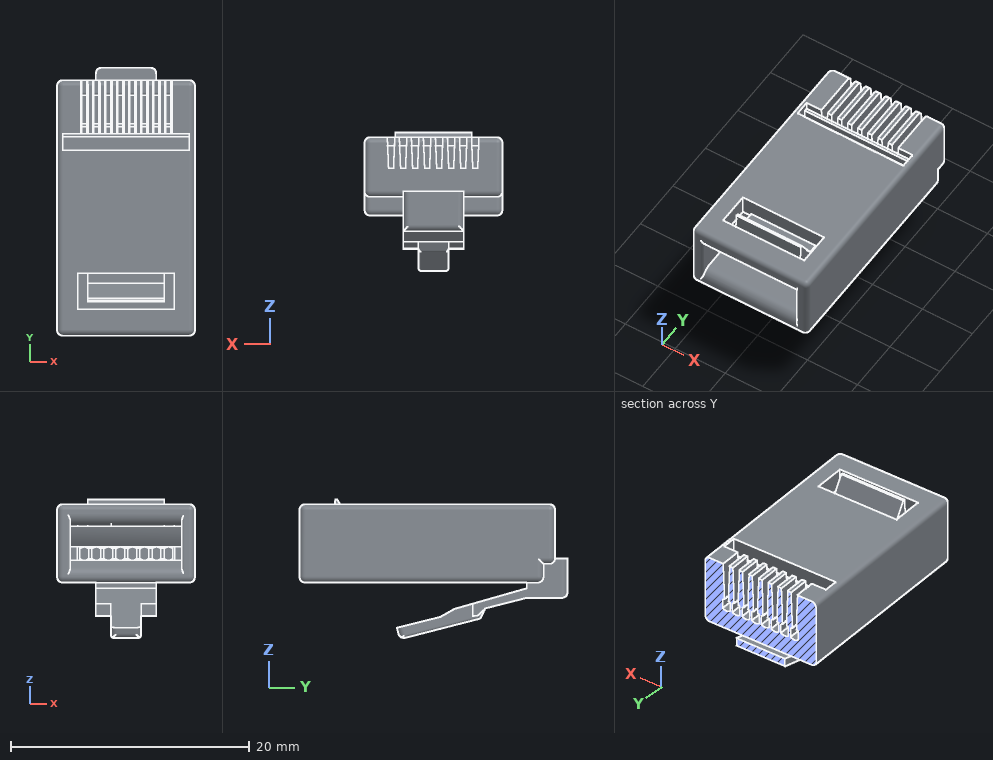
import cadquery as cq
import math


BODY_WIDTH = 11.6
BODY_LENGTH = 21.47
BODY_HEIGHT = 6.6
EDGE_RADIUS = 0.5
STEP_LENGTH = 0.97
STEP_HEIGHT = 1.57

TUNNEL_WIDTH = 9.32
MOUTH_BOTTOM = 0.64
MOUTH_TOP = 5.78
LIP_RADIUS = 1.04
SIDE_LIP_RADIUS = 0.235
TUNNEL_FLOOR = MOUTH_BOTTOM + LIP_RADIUS
TUNNEL_CEILING = MOUTH_TOP - LIP_RADIUS
TUNNEL_END = 14.0
RAMP_START = 11.0
RAMP_START_ANGLE = 13.5
RAMP_END_ANGLE = 39.0

CONTACT_COUNT = 8
CONTACT_PITCH = 1.01
CONTACT_OFFSET = 0.03
CHANNEL_BOTTOM = 1.87
CHANNEL_TOP = 3.0
CHANNEL_WIDTH = 0.74
CHANNEL_END = 20.7
RECESS_WIDTH = 8.16
RECESS_END = 14.5
LINK_HEIGHT = 0.87
LINK_END = 15.5
CHANNEL_RADIUS = (CHANNEL_TOP - CHANNEL_BOTTOM) / 2
CHANNEL_CENTRE = (CHANNEL_TOP + CHANNEL_BOTTOM) / 2

SLOT_TOP_WIDTH = 0.63
SLOT_FLOOR_WIDTH = 0.42
SLOT_REAR = 16.97
SLOT_FLOOR = 4.0
WELL_REAR = 17.8
WELL_FRONT = 20.2
WELL_EDGE = 0.23

GROOVE_WIDTH = BODY_WIDTH - 2 * EDGE_RADIUS
GROOVE_REAR = 15.59
LEDGE_REAR = 16.7
LEDGE_HEIGHT = 5.85
GROOVE_FLOOR = 5.0

WINDOW_WIDTH = 8.13
WINDOW_FRONT = 2.22
WINDOW_REAR = 5.27
FLAP_WIDTH = 6.46
FLAP_TOP = 5.0
FLAP_SLOPE_END = 4.42
FLAP_BASE_FRONT = 2.84
FLAP_CREST_FRONT = 3.0
FLAP_CREST_REAR = 3.17
FLAP_CREST_HEIGHT = 7.0

LATCH_WIDTH = 5.08
LATCH_NOSE = 22.52
LATCH_ROOT_TOP = 2.03
LATCH_ROOT_BOTTOM = -1.29
LATCH_ROOT_REAR = 19.07
LEVER_TOP_START = (LATCH_ROOT_REAR, -0.47)
LEVER_TOP_END = (13.03, -2.19)
LEVER_UNDERSIDE_END = (15.61, -2.17)
SHOULDER_Y = 14.57
SHOULDER_BOTTOM = (SHOULDER_Y, -2.81)
SHOULDER_BREAK = (15.0, -2.75)
HANDLE_HEEL = (15.2, -3.02)
HANDLE_TOP_BREAK = (11.83, -2.87)
HANDLE_TIP_TOP = (8.17, -3.78)
HANDLE_TIP_BOTTOM = (8.43, -4.76)
HANDLE_WIDTH = 2.55
HANDLE_EDGE_RADIUS = 0.25
TIP_RADIUS = 0.5


def side_prism(outline, width):
    """Extrude a closed (Y, Z) outline along X, centred on X = 0."""
    return outline.close().extrude(width / 2, both=True)


def block(width, y_range, z_range, x_centre=0.0):
    """Box centred on x_centre that spans the given Y and Z ranges."""
    y_min, y_max = y_range
    z_min, z_max = z_range
    return (
        cq.Workplane("XY")
        .box(width, y_max - y_min, z_max - z_min, centered=(True, False, False))
        .translate((x_centre, y_min, z_min))
    )


def contact_centres():
    """X positions of the contacts."""
    first = CONTACT_OFFSET - (CONTACT_COUNT - 1) * CONTACT_PITCH / 2
    return [first + i * CONTACT_PITCH for i in range(CONTACT_COUNT)]


def make_body():
    """Stepped block with every outer edge rounded except the inside corner of the step."""
    nose_step = BODY_LENGTH - STEP_LENGTH
    outline = cq.Workplane("YZ").polyline(
        [
            (0, 0),
            (nose_step, 0),
            (nose_step, STEP_HEIGHT),
            (BODY_LENGTH, STEP_HEIGHT),
            (BODY_LENGTH, BODY_HEIGHT),
            (0, BODY_HEIGHT),
        ]
    )
    body = side_prism(outline, BODY_WIDTH)
    inside_corner = cq.selectors.NearestToPointSelector((0, nose_step, STEP_HEIGHT))
    return body.edges(cq.selectors.InverseSelector(inside_corner)).fillet(EDGE_RADIUS)


def make_tunnel():
    """Tunnel void: drafted floor, convex ceiling ramp and flared mouth."""
    start = math.radians(RAMP_START_ANGLE)
    middle = math.radians((RAMP_START_ANGLE + RAMP_END_ANGLE) / 2)
    ramp_radius = (TUNNEL_CEILING - CHANNEL_TOP) / (math.sin(math.radians(RAMP_END_ANGLE)) - math.sin(start))

    def ramp_point(angle):
        return (
            RAMP_START + ramp_radius * (math.cos(start) - math.cos(angle)),
            TUNNEL_CEILING - ramp_radius * (math.sin(angle) - math.sin(start)),
        )

    outline = (
        cq.Workplane("YZ")
        .moveTo(0, MOUTH_BOTTOM)
        .radiusArc((LIP_RADIUS, TUNNEL_FLOOR), LIP_RADIUS)
        .lineTo(TUNNEL_END, CHANNEL_BOTTOM)
        .lineTo(TUNNEL_END, CHANNEL_TOP)
        .lineTo(*ramp_point(math.radians(RAMP_END_ANGLE)))
        .threePointArc(ramp_point(middle), (RAMP_START, TUNNEL_CEILING))
        .lineTo(LIP_RADIUS, TUNNEL_CEILING)
        .radiusArc((0, MOUTH_TOP), LIP_RADIUS)
    )
    profile = side_prism(outline, TUNNEL_WIDTH + 2 * SIDE_LIP_RADIUS)
    half_width = TUNNEL_WIDTH / 2
    half_mouth = half_width + SIDE_LIP_RADIUS
    plan = (
        cq.Workplane("XY")
        .moveTo(-half_mouth, 0)
        .radiusArc((-half_width, SIDE_LIP_RADIUS), -SIDE_LIP_RADIUS)
        .lineTo(-half_width, TUNNEL_END)
        .lineTo(half_width, TUNNEL_END)
        .lineTo(half_width, SIDE_LIP_RADIUS)
        .radiusArc((half_mouth, 0), -SIDE_LIP_RADIUS)
        .close()
        .extrude(BODY_HEIGHT)
    )
    return profile.intersect(plan)


def make_window():
    """Opening from the top face into the tunnel."""
    return block(WINDOW_WIDTH, (WINDOW_FRONT, WINDOW_REAR), (TUNNEL_CEILING, BODY_HEIGHT))


def make_flap():
    """Strain-relief wedge hinged on the rear wall of the window."""
    outline = cq.Workplane("YZ").polyline(
        [
            (WINDOW_REAR, TUNNEL_CEILING),
            (WINDOW_REAR, FLAP_TOP),
            (FLAP_SLOPE_END, FLAP_TOP),
            (FLAP_CREST_REAR, FLAP_CREST_HEIGHT),
            (FLAP_CREST_FRONT, FLAP_CREST_HEIGHT),
            (FLAP_BASE_FRONT, TUNNEL_CEILING),
        ]
    )
    return side_prism(outline, FLAP_WIDTH)


def make_groove():
    """Cross groove with a ledge along its nose side."""
    groove = block(GROOVE_WIDTH, (GROOVE_REAR, LEDGE_REAR), (GROOVE_FLOOR, BODY_HEIGHT))
    ledge = block(GROOVE_WIDTH, (LEDGE_REAR, SLOT_REAR), (LEDGE_HEIGHT, BODY_HEIGHT))
    return groove.union(ledge)


def make_wire_passages():
    """Shallow recess, link and blind wire channels in the end wall of the tunnel."""
    recess = block(RECESS_WIDTH, (TUNNEL_END, RECESS_END), (CHANNEL_BOTTOM, CHANNEL_TOP))
    link_span = (CONTACT_COUNT - 1) * CONTACT_PITCH + CHANNEL_WIDTH
    link_heights = (CHANNEL_CENTRE - LINK_HEIGHT / 2, CHANNEL_CENTRE + LINK_HEIGHT / 2)
    passages = recess.union(block(link_span, (TUNNEL_END, LINK_END), link_heights, CONTACT_OFFSET))
    channel_length = CHANNEL_END - TUNNEL_END
    for x in contact_centres():
        bore = (
            cq.Workplane("XZ", origin=(x, TUNNEL_END, CHANNEL_CENTRE))
            .circle(CHANNEL_RADIUS)
            .extrude(-channel_length)
        )
        sides = block(CHANNEL_WIDTH, (TUNNEL_END, CHANNEL_END), (CHANNEL_BOTTOM, CHANNEL_TOP), x)
        passages = passages.union(bore.intersect(sides))
    return passages


def make_contact_slot(x):
    """Slot with drafted sides, and the well that opens its floor into the wire channel."""
    slot = (
        cq.Workplane("XZ", origin=(x, SLOT_REAR, 0))
        .polyline(
            [
                (-SLOT_FLOOR_WIDTH / 2, SLOT_FLOOR),
                (SLOT_FLOOR_WIDTH / 2, SLOT_FLOOR),
                (SLOT_TOP_WIDTH / 2, BODY_HEIGHT),
                (-SLOT_TOP_WIDTH / 2, BODY_HEIGHT),
            ]
        )
        .close()
        .extrude(SLOT_REAR - BODY_LENGTH)
    )
    well_outline = (
        cq.Workplane("YZ")
        .moveTo(WELL_REAR, CHANNEL_CENTRE)
        .lineTo(WELL_REAR, SLOT_FLOOR - WELL_EDGE)
        .lineTo(WELL_REAR - WELL_EDGE, SLOT_FLOOR)
        .lineTo(WELL_FRONT + WELL_EDGE, SLOT_FLOOR)
        .radiusArc((WELL_FRONT, SLOT_FLOOR - WELL_EDGE), -WELL_EDGE)
        .lineTo(WELL_FRONT, CHANNEL_CENTRE)
    )
    return slot.union(side_prism(well_outline, SLOT_FLOOR_WIDTH).translate((x, 0, 0)))


def midpoint(start, end):
    """Point halfway between two (Y, Z) points."""
    return ((start[0] + end[0]) / 2, (start[1] + end[1]) / 2)


def round_handle(handle):
    """Round the tip corners and underside of the handle."""
    rounded_corners = handle
    for x in (-HANDLE_WIDTH / 2, HANDLE_WIDTH / 2):
        corner = cq.selectors.NearestToPointSelector((x, *midpoint(HANDLE_TIP_TOP, HANDLE_TIP_BOTTOM)))
        rounded_corners = rounded_corners.edges(corner).fillet(TIP_RADIUS)

    tip_edge = cq.selectors.NearestToPointSelector((0, *HANDLE_TIP_BOTTOM))
    underside = cq.selectors.NearestToPointSelector((0, *midpoint(HANDLE_HEEL, HANDLE_TIP_BOTTOM)))
    rounded_underside = handle.edges(tip_edge).fillet(TIP_RADIUS)
    rounded_underside = rounded_underside.faces(underside).edges(">Y or (not |X)").fillet(HANDLE_EDGE_RADIUS)
    return rounded_corners.intersect(rounded_underside)


def make_latch():
    """Latch root under the nose, with a sloping lever that narrows to a handle."""
    root = block(LATCH_WIDTH, (LATCH_ROOT_REAR, LATCH_NOSE), (LATCH_ROOT_BOTTOM, LATCH_ROOT_TOP))
    rounded_corners = root.edges("|Z and >Y").fillet(EDGE_RADIUS)
    rounded_underside = root.edges("<Z and >Y").fillet(EDGE_RADIUS)
    root = rounded_corners.intersect(rounded_underside)
    lever_slope = (LEVER_TOP_END[1] - LEVER_TOP_START[1]) / (LEVER_TOP_END[0] - LEVER_TOP_START[0])
    shoulder_top = (SHOULDER_Y, LEVER_TOP_START[1] + lever_slope * (SHOULDER_Y - LATCH_ROOT_REAR))
    lever_outline = cq.Workplane("YZ").polyline(
        [
            LEVER_TOP_START,
            (LATCH_ROOT_REAR, LATCH_ROOT_BOTTOM),
            LEVER_UNDERSIDE_END,
            SHOULDER_BREAK,
            SHOULDER_BOTTOM,
            shoulder_top,
        ]
    )
    lever = side_prism(lever_outline, LATCH_WIDTH)
    handle_outline = cq.Workplane("YZ").polyline(
        [
            shoulder_top,
            LEVER_UNDERSIDE_END,
            HANDLE_HEEL,
            HANDLE_TIP_BOTTOM,
            HANDLE_TIP_TOP,
            HANDLE_TOP_BREAK,
            LEVER_TOP_END,
        ]
    )
    handle = side_prism(handle_outline, HANDLE_WIDTH)
    return root.union(lever).union(round_handle(handle)).clean()


result = make_body().union(make_latch()).cut(make_tunnel()).cut(make_wire_passages())
result = result.cut(make_groove()).cut(make_window()).union(make_flap())
for contact_x in contact_centres():
    result = result.cut(make_contact_slot(contact_x))